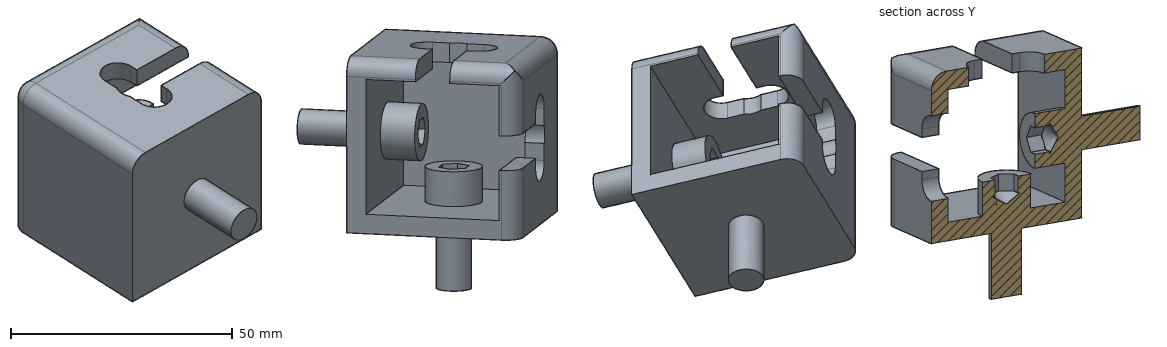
import cadquery as cq
import math

cube_side = 40.0
overall_length = 55.5
wall = 4.5
edge_radius = 4.0
cavity_side = cube_side - 2 * wall

slot_width = 8.0
slot_length = 20.0
access_hole_diameter = 9.0

shank_diameter = 8.0
head_diameter = 13.0
head_height = 8.0
socket_across_flats = 6.1
socket_depth = 4.0
socket_tip_angle = 118.0

middle = cube_side / 2
shank_length = overall_length - cavity_side - wall

top_frame = cq.Plane(origin=(middle, middle, cube_side), xDir=(0, 1, 0), normal=(0, 0, 1))
left_frame = cq.Plane(origin=(0, middle, middle), xDir=(0, 1, 0), normal=(-1, 0, 0))


def rounded_cube(edge_selector):
    """Solid cube with only the selected edges rounded."""
    cube = cq.Workplane("XY").box(cube_side, cube_side, cube_side, centered=False)
    return cube.edges(edge_selector).fillet(edge_radius)


def make_shell():
    """Cube with rounded edges around its left, front, top and back, hollow and open at the back."""
    block = rounded_cube("(<X and <Y) or (<X and >Z) or (<Y and >Z)")
    for back_edge in ("<X and >Y", ">Y and >Z"):
        block = block.intersect(rounded_cube(back_edge))
    cavity = (
        cq.Workplane("XY")
        .box(cavity_side, cube_side - wall, cavity_side, centered=False)
        .translate((wall, wall, wall))
    )
    return block.cut(cavity)


def make_slot(frame):
    """Cutter for the cross slot, its neck and the round screwdriver access in one wall."""
    cross = cq.Workplane(frame).slot2D(slot_length, slot_width, 90).extrude(-wall)
    neck = cq.Workplane(frame).center(middle / 2, 0).rect(middle, slot_width).extrude(-wall)
    access = cq.Workplane(frame).circle(access_hole_diameter / 2).extrude(-wall)
    return cross.union(neck).union(access)


def make_screw(frame):
    """Socket screw whose head rests inside the wall opposite the given slotted wall."""
    head_top = head_height - wall - cavity_side
    socket_circle = socket_across_flats / math.cos(math.radians(30))
    tip_depth = socket_circle / 2 / math.tan(math.radians(socket_tip_angle / 2))

    head = (
        cq.Workplane(frame).workplane(offset=head_top)
        .circle(head_diameter / 2).extrude(-head_height)
    )
    shank = (
        cq.Workplane(frame).workplane(offset=head_top - head_height)
        .circle(shank_diameter / 2).extrude(-shank_length)
    )
    socket = (
        cq.Workplane(frame).workplane(offset=head_top)
        .polygon(6, socket_circle).extrude(-socket_depth)
    )
    cone = cq.Solid.makeCone(
        socket_circle / 2, 0, tip_depth,
        pnt=frame.toWorldCoords((0, 0, head_top - socket_depth)), dir=-frame.zDir,
    )
    return head.union(shank).cut(socket).cut(cq.Workplane(cone))


result = make_shell()
for slotted_wall in (top_frame, left_frame):
    result = result.cut(make_slot(slotted_wall)).union(make_screw(slotted_wall))